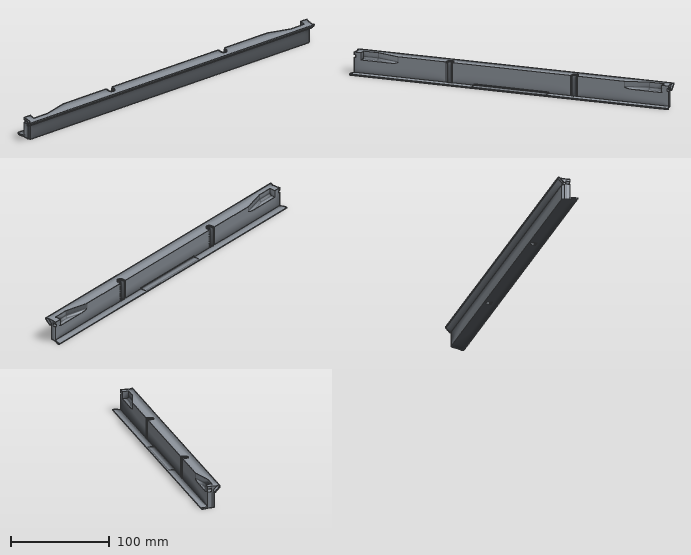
import cadquery as cq

length = 348.0
width = 21.0
height = 23.0
half_length = length / 2

web_left = 8.0
web_right = 16.0
plate_thickness = 1.7
plate_edge_chamfer = 1.5
flange_tip_height = 1.7
tip_base = height - flange_tip_height
brace_base = tip_base - (width - web_right)

slot_width = 4.5
slot_rim_width = 7.0
slot_rim_depth = 1.0
slot_x = 12.0
slot_y = 68.2

pocket_floor = 15.3
pocket_wall_x = 14.5
pocket_end_y = 164.3
pocket_bend_y = 148.2
pocket_tip_y = 124.0
pocket_fillet = 2.25

notch_length = 81.5
notch_start_x = 2.0
notch_depth = 0.5
notch_top = 3.0
notch_reach = 1.0

relief_start_x = 3.0
relief_corner_x = 12.2
web_corner_depth = 2.0
relief_depth = 2.8
relief_y = half_length - relief_depth
web_end_chamfer = 2.0
lip_width = 3.0
lip_crest = 1.5
lip_rise = 1.7
lip_edge_drop = 1.0
groove_diameter = 3.4
groove_z = 18.8
groove_y = 172.0


def along_bar(points, bar_length):
    """Extrude an XZ outline along Y, centred on the middle of the bar."""
    return cq.Workplane("XZ").polyline(points).close().extrude(bar_length / 2, both=True)


def both_ends(shape):
    """Return the shape together with its mirror image at the other end."""
    return shape.union(shape.mirror("XZ"))


def make_bar():
    return along_bar(
        [
            (plate_edge_chamfer, 0),
            (web_right, 0),
            (web_right, brace_base),
            (width, tip_base),
            (width, height),
            (web_left, height),
            (web_left, plate_thickness),
            (0, plate_thickness),
            (0, plate_edge_chamfer),
        ],
        length,
    )


def make_end_relief():
    """Material removed from the +Y end: slanted faces, a flat face and a bevelled web corner."""
    hollow = (
        cq.Workplane("XY")
        .moveTo(relief_start_x, half_length)
        .lineTo(web_left, half_length - web_corner_depth)
        .lineTo(relief_corner_x, relief_y)
        .lineTo(width, relief_y)
        .lineTo(width, half_length)
        .close()
        .extrude(height)
    )
    corner = (
        cq.Workplane("XY")
        .moveTo(web_right, relief_y)
        .lineTo(web_right - web_end_chamfer, relief_y)
        .lineTo(web_right, relief_y - web_end_chamfer)
        .close()
        .extrude(brace_base)
    )
    return hollow.union(corner)


def make_end_lip(bar):
    """Wedge left along the 45 degree underside of the flange at the +Y end."""
    along_brace = cq.Plane(
        origin=(web_right, relief_y, brace_base), xDir=(-1, 0, 1), normal=(-1, 0, -1)
    )
    wedge = (
        cq.Workplane(along_brace)
        .polyline(
            [
                (0, 0),
                (lip_width, 0),
                (lip_crest, lip_rise),
                (0, lip_rise - lip_edge_drop),
            ]
        )
        .close()
        .extrude(-height)
    )
    return wedge.intersect(bar)


def make_end_groove():
    """Round groove across the left part of the +Y end of the web."""
    return (
        cq.Workplane("YZ", origin=(web_left, 0, 0))
        .center(groove_y, groove_z)
        .circle(groove_diameter / 2)
        .extrude(relief_corner_x - web_left)
    )


def make_pocket():
    """Pocket near the +Y end, open to the top and to the left of the web."""
    side_clearance = 3.5
    open_x = web_left - side_clearance
    block = (
        cq.Workplane("XY", origin=(0, 0, pocket_floor))
        .moveTo(open_x, pocket_end_y)
        .lineTo(pocket_wall_x, pocket_end_y)
        .lineTo(pocket_wall_x, pocket_bend_y)
        .lineTo(web_left, pocket_tip_y)
        .lineTo(open_x, pocket_tip_y)
        .close()
        .extrude(height - pocket_floor)
    )
    bend_mid = (pocket_bend_y + pocket_tip_y) / 2
    wall_mid = (pocket_bend_y + pocket_end_y) / 2
    wall_edge = cq.selectors.NearestToPointSelector((pocket_wall_x, wall_mid, pocket_floor))
    taper_edge = cq.selectors.NearestToPointSelector(
        ((pocket_wall_x + web_left) / 2, bend_mid, pocket_floor)
    )
    return block.edges(wall_edge + taper_edge).fillet(pocket_fillet)


def make_u_slot(slot_size, base_z):
    """Slot from base_z to the top face, open to the left with its round end inside the web."""
    radius = slot_size / 2
    return (
        cq.Workplane("XY", origin=(0, slot_y, base_z))
        .moveTo(web_left, radius)
        .lineTo(slot_x, radius)
        .threePointArc((slot_x + radius, 0), (slot_x, -radius))
        .lineTo(web_left, -radius)
        .close()
        .extrude(height - base_z)
    )


def make_screw_slot():
    """Slot through the full height, with a shallow wider step on the top face and the web."""
    slot = make_u_slot(slot_width, 0)
    rim = make_u_slot(slot_rim_width, height - slot_rim_depth)
    mouth = (
        cq.Workplane("XY", origin=(web_left, slot_y, plate_thickness))
        .rect(2 * slot_rim_depth, slot_rim_width)
        .extrude(height - plate_thickness)
    )
    return slot.union(rim).union(mouth)


def make_notch():
    """Shallow recess in the plate that runs under the left face of the web."""
    floor = plate_thickness - notch_depth
    return along_bar(
        [
            (notch_start_x, plate_thickness),
            (web_left, floor),
            (web_left + notch_reach, floor),
            (web_left, notch_top),
        ],
        notch_length,
    )


bar = make_bar()
result = (
    bar.cut(both_ends(make_end_relief()))
    .union(both_ends(make_end_lip(bar)))
    .cut(both_ends(make_end_groove()))
    .cut(both_ends(make_pocket()))
    .cut(both_ends(make_screw_slot()))
    .cut(make_notch())
)